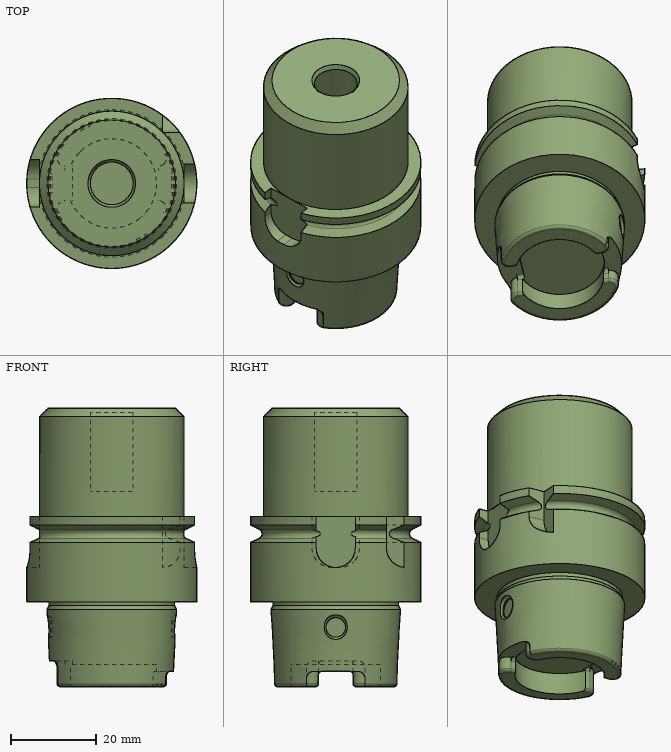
import cadquery as cq
import math


total_height = 65.5
flange_bottom = 20.0
flange_top = 40.0

body_radius = 34.0 / 2
body_chamfer = 2.0
top_bore_radius = 10.0 / 2
top_bore_chamfer = 0.6
top_bore_chamfer_angle = math.radians(30)
top_bore_depth = 19.65

flange_radius = 40.0 / 2
groove_middle = 35.95
groove_half_mouth = 2.0
groove_flank_angle = math.radians(26)
groove_root_radius = 1.2

neck_radius = 29.6 / 2
neck_bottom = 19.05
taper_top = 18.15
taper_top_radius = 15.25
taper_slope = 0.05
shank_edge_fillet = 0.7
shank_bore_radius = 21.0 / 2
shank_bore_depth = 5.25

side_hole_radius = 4.6 / 2
side_hole_rim_radius = 5.9 / 2
side_hole_height = 13.95
side_hole_depth = 1.0

flange_slot_floor = body_radius
flange_slot_bottom = 28.05
left_slot_width = 11.15
slot_corner_radius = 4.6
right_slot_width = 2 * slot_corner_radius
notch_wall = 11.9

drive_slot_inner_end = 9.2
drive_slot_width = 8.1
drive_slot_corner = 0.85
drive_slot_edge_radius = 1.9
drive_slot_mouth_corner = 1.65
left_drive_slot_depth = 6.1
right_drive_slot_depth = 3.6

reach = 2 * flange_radius


def shank_radius(z):
    return taper_top_radius - taper_slope * (taper_top - z)


def make_blank():
    """Revolve the outer profile, groove included."""
    groove_apex = flange_radius - groove_half_mouth / math.tan(groove_flank_angle)
    root_center = groove_apex + groove_root_radius / math.sin(groove_flank_angle)
    root_end = root_center - groove_root_radius * math.sin(groove_flank_angle)
    root_half_height = groove_root_radius * math.cos(groove_flank_angle)
    return (
        cq.Workplane("XZ")
        .moveTo(0, 0)
        .lineTo(shank_radius(0), 0)
        .lineTo(taper_top_radius, taper_top)
        .lineTo(neck_radius, neck_bottom)
        .lineTo(neck_radius, flange_bottom)
        .lineTo(flange_radius, flange_bottom)
        .lineTo(flange_radius, groove_middle - groove_half_mouth)
        .lineTo(root_end, groove_middle - root_half_height)
        .threePointArc(
            (root_center - groove_root_radius, groove_middle),
            (root_end, groove_middle + root_half_height),
        )
        .lineTo(flange_radius, groove_middle + groove_half_mouth)
        .lineTo(flange_radius, flange_top)
        .lineTo(body_radius, flange_top)
        .lineTo(body_radius, total_height - body_chamfer)
        .lineTo(body_radius - body_chamfer, total_height)
        .lineTo(0, total_height)
        .close()
        .revolve(360, (0, 0, 0), (0, 1, 0))
    )


def make_top_bore():
    rim = top_bore_radius + top_bore_chamfer
    chamfer_height = top_bore_chamfer / math.tan(top_bore_chamfer_angle)
    return (
        cq.Workplane("XZ")
        .moveTo(0, total_height)
        .lineTo(rim, total_height)
        .lineTo(top_bore_radius, total_height - chamfer_height)
        .lineTo(top_bore_radius, total_height - top_bore_depth)
        .lineTo(0, total_height - top_bore_depth)
        .close()
        .revolve(360, (0, 0, 0), (0, 1, 0))
    )


def make_flange_slot(width, floor):
    """Slot open at the flange top and toward +X, with rounded lower corners."""
    corner_height = flange_slot_bottom + slot_corner_radius
    half_flat = width / 2 - slot_corner_radius
    diagonal = slot_corner_radius * math.sqrt(0.5)
    half = (
        cq.Workplane("YZ", origin=(floor, 0, 0))
        .moveTo(0, flange_top)
        .lineTo(width / 2, flange_top)
        .lineTo(width / 2, corner_height)
        .threePointArc(
            (half_flat + diagonal, corner_height - diagonal),
            (half_flat, flange_slot_bottom),
        )
    )
    if half_flat > 0:
        half = half.lineTo(0, flange_slot_bottom)
    half = half.close().extrude(reach)
    return half.union(half.mirror("XZ"))


def make_side_hole():
    """Countersunk blind hole along X, opening toward +X."""
    rim_x = shank_radius(side_hole_height)
    chamfer = side_hole_rim_radius - side_hole_radius
    floor_x = rim_x - side_hole_depth
    return (
        cq.Workplane("XY")
        .moveTo(floor_x, 0)
        .lineTo(floor_x, side_hole_radius)
        .lineTo(rim_x - chamfer, side_hole_radius)
        .lineTo(rim_x, side_hole_rim_radius)
        .lineTo(reach, side_hole_rim_radius)
        .lineTo(reach, 0)
        .close()
        .revolve(360, (0, 0, 0), (1, 0, 0))
        .translate((0, 0, side_hole_height))
    )


def rounded_block(start_x, width, depth, corner):
    """Block from start_x toward +X and up from Z = 0, with rounded upper corners."""
    return (
        cq.Workplane("XY", origin=(start_x, 0, 0))
        .box(reach, width, depth, centered=(False, True, False))
        .edges("|X and >Z")
        .fillet(corner)
    )


def make_drive_slot(depth):
    """Slot toward +X whose side walls curve outward to a wide mouth.

    The walls are built as solids standing on both sides of the slot, with their
    lower edges rounded, and are then taken away from the space of the slot.
    """
    half_width = drive_slot_width / 2
    curve_y = half_width + drive_slot_edge_radius
    curve_x = math.sqrt((shank_radius(0) - drive_slot_edge_radius) ** 2 - curve_y**2)
    mouth_angle = math.atan2(curve_y, curve_x)
    middle_angle = (mouth_angle - math.pi / 2) / 2

    def curve_point(angle):
        return (
            curve_x + drive_slot_edge_radius * math.cos(angle),
            curve_y + drive_slot_edge_radius * math.sin(angle),
        )

    mouth = curve_point(mouth_angle)
    mouth_half_width = mouth[1]
    slot_side = cq.selectors.BoxSelector((0, 0, -depth), (2 * reach, reach / 2, depth / 2))
    wall = (
        cq.Workplane("XY")
        .moveTo(0, reach)
        .lineTo(0, half_width)
        .lineTo(curve_x, half_width)
        .threePointArc(curve_point(middle_angle), mouth)
        .lineTo(reach, mouth_half_width)
        .lineTo(reach, reach)
        .close()
        .extrude(depth)
        .faces("<Z")
        .edges(slot_side)
        .fillet(shank_edge_fillet)
    )
    walls = wall.union(wall.mirror("XZ"))

    channel = rounded_block(drive_slot_inner_end, drive_slot_width, depth, drive_slot_corner)
    flare = rounded_block(curve_x, 2 * mouth_half_width, depth, drive_slot_mouth_corner).cut(walls)
    foot = (
        cq.Workplane("XY")
        .box(reach, reach, 2 * shank_edge_fillet, centered=(False, True, False))
        .cut(walls)
    )
    return channel.union(flare).union(foot)


def turned_to_left(shape):
    return shape.rotate((0, 0, 0), (0, 0, 1), 180)


result = make_blank()
result = result.faces("<Z").edges().fillet(shank_edge_fillet)
result = result.cut(make_top_bore())
result = result.cut(cq.Workplane("XY").circle(shank_bore_radius).extrude(shank_bore_depth))

notch = make_flange_slot(left_slot_width, notch_wall)
result = result.cut(notch.translate((0, notch_wall + left_slot_width / 2, 0)))
result = result.cut(make_flange_slot(right_slot_width, flange_slot_floor))
result = result.cut(turned_to_left(make_flange_slot(left_slot_width, flange_slot_floor)))

side_hole = make_side_hole()
result = result.cut(side_hole).cut(turned_to_left(side_hole))

result = result.cut(make_drive_slot(right_drive_slot_depth))
result = result.cut(turned_to_left(make_drive_slot(left_drive_slot_depth)))